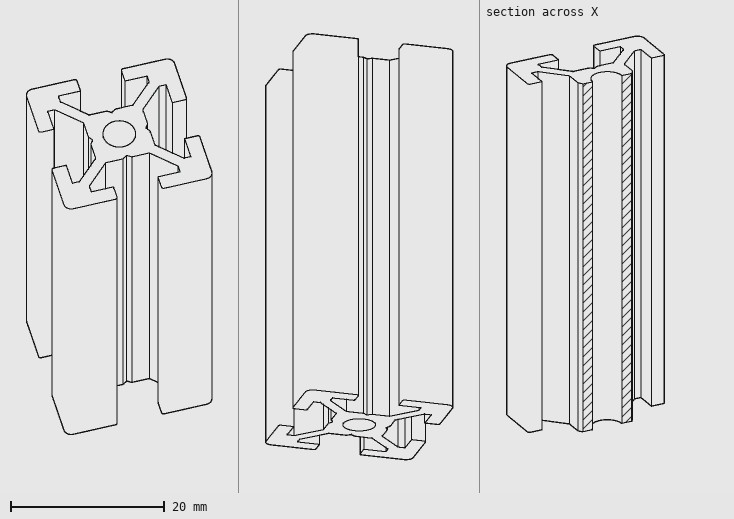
import cadquery as cq

length = 50
side = 20
corner_radius = 1
bore_diameter = 4.25

slot_opening = 6
lip_thickness = 2
lip_edge_radius = 0.3
pocket_half_width = 6
core_half_width = 4
web_offset = 1.05
groove_half_width = 0.6
groove_depth = 0.4

half_side = side / 2
half_opening = slot_opening / 2
lip_inner = half_side - lip_thickness
pocket_shoulder = pocket_half_width + web_offset
pocket_floor_half = core_half_width - web_offset


def make_body():
    body = cq.Workplane("XY").rect(side, side).extrude(length)
    return body.edges("|Z").fillet(corner_radius)


def make_slot():
    """Cutter for the +Y slot: rounded mouth, T pocket and V-grooved floor."""
    right_side = [
        (groove_half_width, core_half_width),
        (pocket_floor_half, core_half_width),
        (pocket_half_width, pocket_shoulder),
        (pocket_half_width, lip_inner),
        (half_opening, lip_inner),
        (half_opening, half_side - lip_edge_radius),
    ]
    left_side = [(-x, y) for x, y in reversed(right_side)]
    mouth_half = half_opening + lip_edge_radius
    profile = (
        cq.Workplane("XY")
        .moveTo(0, core_half_width - groove_depth)
        .polyline(right_side, includeCurrent=True)
        .radiusArc((mouth_half, half_side), lip_edge_radius)
        .lineTo(-mouth_half, half_side)
        .radiusArc(left_side[0], lip_edge_radius)
        .polyline(left_side[1:], includeCurrent=True)
        .close()
    )
    return profile.extrude(length)


result = make_body()
slot = make_slot()
for angle in (0, 90, 180, 270):
    result = result.cut(slot.rotate((0, 0, 0), (0, 0, 1), angle))

result = result.cut(cq.Workplane("XY").circle(bore_diameter / 2).extrude(length))